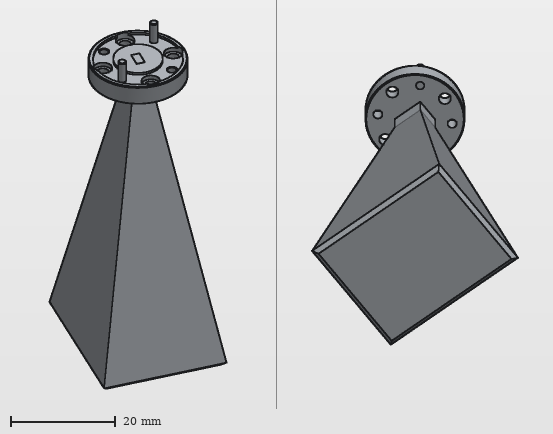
import cadquery as cq
import math

total_height = 68.9
pin_projection = 3.9
flange_thickness = 4.05
flange_top = total_height - pin_projection
flange_bottom = flange_top - flange_thickness

mouth_x = 30.5
mouth_y = 24.9
mouth_chamfer = 0.9
neck_x = 6.05
neck_y = 4.7
neck_length = 3.5
neck_bottom = flange_bottom - neck_length

flange_radius = 9.5
flange_edge_chamfer = 0.2
rim_inner_radius = 8.6
boss_radius = 4.75
face_recess_depth = 0.5
recess_floor = flange_top - face_recess_depth

window_x = 3.1
window_y = 1.65
window_depth = 0.1

pitch_radius = 7.15
bolt_hole_diameter = 2.3
counterbore_diameter = 3.6
counterbore_depth = 0.9
dowel_hole_diameter = 1.7
dowel_hole_chamfer = 0.15
pin_diameter = 1.6
pin_tip_chamfer = 0.17

bolt_angles = (0, 90, 180, 270)
dowel_hole_angles = (45, 225)
pin_angles = (135, 315)


def on_pitch_circle(angles):
    """Centre points on the pitch circle at the given angles in degrees."""
    return [
        (pitch_radius * math.cos(math.radians(angle)), pitch_radius * math.sin(math.radians(angle)))
        for angle in angles
    ]


def bores(angles, diameter, bottom):
    """Cutters from the given height up through the flange face."""
    return (
        cq.Workplane("XY", origin=(0, 0, bottom))
        .pushPoints(on_pitch_circle(angles))
        .circle(diameter / 2)
        .extrude(flange_top - bottom)
    )


def dowel_hole_bevels():
    """Conical cutters that chamfer the dowel holes at the recess floor."""
    mouth_diameter = dowel_hole_diameter + 2 * dowel_hole_chamfer
    return (
        cq.Workplane("XY", origin=(0, 0, recess_floor))
        .pushPoints(on_pitch_circle(dowel_hole_angles))
        .circle(mouth_diameter / 2)
        .extrude(-dowel_hole_chamfer, taper=45)
    )


def make_flared_horn():
    """Pyramid from the mouth to the neck, with a bevelled mouth edge."""
    bevel = (
        cq.Workplane("XY")
        .rect(mouth_x - 2 * mouth_chamfer, mouth_y - 2 * mouth_chamfer)
        .workplane(offset=mouth_chamfer)
        .rect(mouth_x, mouth_y)
        .loft(ruled=True)
    )
    flare = (
        cq.Workplane("XY", origin=(0, 0, mouth_chamfer))
        .rect(mouth_x, mouth_y)
        .workplane(offset=neck_bottom - mouth_chamfer)
        .rect(neck_x, neck_y)
        .loft(ruled=True)
    )
    neck = cq.Workplane("XY", origin=(0, 0, neck_bottom)).rect(neck_x, neck_y).extrude(neck_length)
    return bevel.union(flare).union(neck)


def make_flange():
    """Disc with a ring recess between its rim and boss, and all of its holes."""
    disc = (
        cq.Workplane("XY", origin=(0, 0, flange_bottom))
        .circle(flange_radius)
        .extrude(flange_thickness)
        .edges()
        .chamfer(flange_edge_chamfer)
    )
    ring_recess = (
        cq.Workplane("XY", origin=(0, 0, recess_floor))
        .circle(rim_inner_radius)
        .circle(boss_radius)
        .extrude(face_recess_depth)
    )
    window = (
        cq.Workplane("XY", origin=(0, 0, flange_top - window_depth))
        .rect(window_x, window_y)
        .extrude(window_depth)
    )
    return (
        disc.cut(ring_recess)
        .cut(window)
        .cut(bores(bolt_angles, bolt_hole_diameter, flange_bottom))
        .cut(bores(bolt_angles, counterbore_diameter, recess_floor - counterbore_depth))
        .cut(bores(dowel_hole_angles, dowel_hole_diameter, flange_bottom))
        .cut(dowel_hole_bevels())
        .cut(bores(pin_angles, pin_diameter, flange_bottom))
    )


def make_pin(center):
    """Dowel pin filling its flange hole and standing above the face."""
    x, y = center
    return (
        cq.Workplane("XY", origin=(x, y, flange_bottom))
        .circle(pin_diameter / 2)
        .extrude(total_height - flange_bottom)
        .faces(">Z")
        .chamfer(pin_tip_chamfer)
    )


horn = make_flared_horn().union(make_flange())

pins = []
for pin_center in on_pitch_circle(pin_angles):
    pins.append(make_pin(pin_center).val())

result = cq.Compound.makeCompound([horn.val(), *pins])